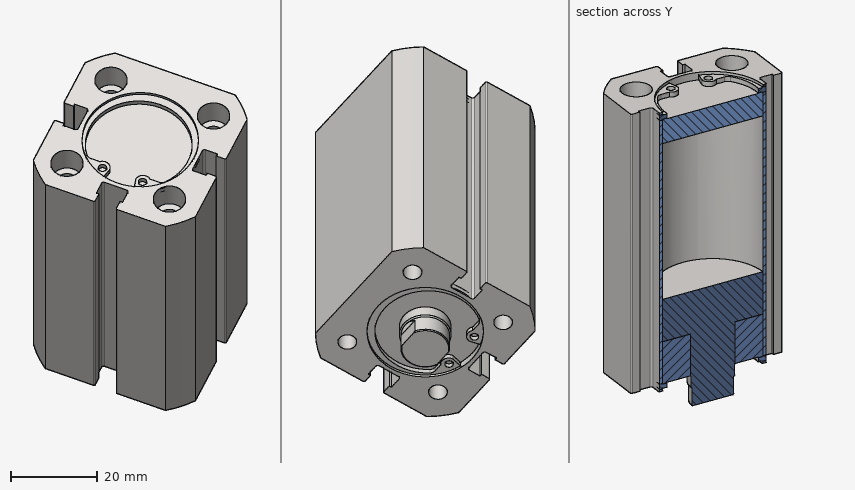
import cadquery as cq
import math

TOTAL_LENGTH = 79.0
ROD_REACH = 6.0
HOUSING_LENGTH = TOTAL_LENGTH - ROD_REACH
HOUSING_SIDE = 41.0
HALF_SIDE = HOUSING_SIDE / 2
CORNER_DIAMETER = 51.0

BORE_RADIUS = 13.5

BOLT_PITCH = 25.9
BOLT_HOLE_DIAMETER = 4.35
COUNTERBORE_DIAMETER = 7.5
COUNTERBORE_DEPTH = 7.0

SLOT_MOUTH_WIDTH = 5.4
SLOT_INNER_WIDTH = 6.6
SLOT_LIP_DEPTH = 2.45
SLOT_DEPTH = 6.0
SLOT_LIP_FILLET = 0.3
SLOT_FLOOR_FILLET = 0.55

GROOVE_WALL = 0.12
GROOVE_RADIUS = HALF_SIDE - SLOT_DEPTH - GROOVE_WALL
RING_THICKNESS = 1.3
RING_SETBACK = 0.7
RING_INNER_RADIUS = 12.4
RING_INNER_SHIFT = 0.9
LUG_X = 5.1
LUG_Y = -10.35
LUG_RADIUS = 1.8
LUG_HOLE_X = 5.05
LUG_HOLE_Y = -10.4
LUG_HOLE_DIAMETER = 2.0
WEB_DROP = 0.5
WEB_FILLET = 1.6
GAP_HALF_WIDTH = 4.1

END_CAP_THICKNESS = 6.3
ROD_COVER_THICKNESS = 11.05
COVER_SETBACK = RING_SETBACK + RING_THICKNESS

PISTON_THICKNESS = 11.05
ROD_RADIUS = 6.0
ROD_TIP_RADIUS = 5.7
ROD_SHOULDER = 0.95
ROD_FLAT_WIDTH = 9.95
ROD_TIP_CHAMFER = 0.2


def slot_cutter():
    """T-slot along Z that opens on the -Y side."""
    mouth = SLOT_MOUTH_WIDTH / 2
    inner = SLOT_INNER_WIDTH / 2
    lip_y = -HALF_SIDE + SLOT_LIP_DEPTH
    floor_y = -HALF_SIDE + SLOT_DEPTH
    inner_part = (
        cq.Workplane("XY")
        .moveTo(-inner, lip_y)
        .lineTo(inner, lip_y)
        .lineTo(inner, floor_y)
        .lineTo(-inner, floor_y)
        .close()
        .extrude(HOUSING_LENGTH)
        .edges("|Z and >Y")
        .fillet(SLOT_FLOOR_FILLET)
    )
    flare = mouth + SLOT_LIP_FILLET
    flare_y = -HALF_SIDE + SLOT_LIP_FILLET
    arc_mid = SLOT_LIP_FILLET * (1 - math.sqrt(0.5))
    mouth_part = (
        cq.Workplane("XY")
        .moveTo(-flare, -HALF_SIDE)
        .lineTo(flare, -HALF_SIDE)
        .threePointArc((mouth + arc_mid, -HALF_SIDE + arc_mid), (mouth, flare_y))
        .lineTo(mouth, lip_y)
        .lineTo(-mouth, lip_y)
        .lineTo(-mouth, flare_y)
        .threePointArc((-mouth - arc_mid, -HALF_SIDE + arc_mid), (-flare, -HALF_SIDE))
        .close()
        .extrude(HOUSING_LENGTH)
    )
    return inner_part.union(mouth_part)


def ring_bottoms():
    """Heights of the lower faces of the two retaining rings."""
    return [RING_SETBACK, HOUSING_LENGTH - RING_SETBACK - RING_THICKNESS]


def make_housing():
    body = cq.Workplane("XY").rect(HOUSING_SIDE, HOUSING_SIDE).extrude(HOUSING_LENGTH)
    body = body.intersect(cq.Workplane("XY").circle(CORNER_DIAMETER / 2).extrude(HOUSING_LENGTH))
    for angle in (-90, 0, 90):
        body = body.cut(slot_cutter().rotate((0, 0, 0), (0, 0, 1), angle))
    body = (
        body.faces(">Z")
        .workplane(origin=(0, 0, HOUSING_LENGTH))
        .rect(BOLT_PITCH, BOLT_PITCH, forConstruction=True)
        .vertices()
        .cboreHole(BOLT_HOLE_DIAMETER, COUNTERBORE_DIAMETER, COUNTERBORE_DEPTH)
    )
    body = body.cut(cq.Workplane("XY").circle(BORE_RADIUS).extrude(HOUSING_LENGTH))
    for bottom in ring_bottoms():
        body = body.cut(ring_disc(bottom).cut(ring_gap(bottom)))
    return body


def ring_plane(bottom):
    return cq.Workplane("XY", origin=(0, 0, bottom))


def ring_disc(bottom):
    return ring_plane(bottom).circle(GROOVE_RADIUS).extrude(RING_THICKNESS)


def ring_gap(bottom):
    """Space between the ring ends on the -Y side; the groove stops here too."""
    lug_side = LUG_X - LUG_RADIUS
    return (
        ring_plane(bottom)
        .moveTo(-lug_side, LUG_Y)
        .lineTo(lug_side, LUG_Y)
        .lineTo(GAP_HALF_WIDTH, -BORE_RADIUS)
        .lineTo(GAP_HALF_WIDTH, -GROOVE_RADIUS)
        .lineTo(-GAP_HALF_WIDTH, -GROOVE_RADIUS)
        .lineTo(-GAP_HALF_WIDTH, -BORE_RADIUS)
        .close()
        .extrude(RING_THICKNESS)
    )


def make_ring(bottom):
    """Internal retaining ring with two plier lugs beside its gap."""
    plane = ring_plane(bottom)
    disc = ring_disc(bottom)
    opening = plane.center(0, -RING_INNER_SHIFT).circle(RING_INNER_RADIUS).extrude(RING_THICKNESS)
    ring = disc.cut(opening)

    web_y = LUG_Y + LUG_RADIUS - WEB_DROP
    for side in (-1, 1):
        lug = plane.center(side * LUG_X, LUG_Y).circle(LUG_RADIUS).extrude(RING_THICKNESS)
        web = (
            plane.moveTo(side * LUG_X, web_y)
            .lineTo(side * GROOVE_RADIUS, web_y)
            .lineTo(side * GROOVE_RADIUS, -GROOVE_RADIUS)
            .lineTo(0, -GROOVE_RADIUS)
            .lineTo(side * (LUG_X - LUG_RADIUS), LUG_Y)
            .close()
            .extrude(RING_THICKNESS)
            .intersect(disc)
        )
        ring = ring.union(web).union(lug)
    ring = ring.cut(ring_gap(bottom))

    corner_x = math.sqrt(RING_INNER_RADIUS**2 - (web_y + RING_INNER_SHIFT) ** 2)
    for side in (-1, 1):
        corner = (side * corner_x, web_y, bottom + RING_THICKNESS / 2)
        ring = ring.edges(cq.selectors.NearestToPointSelector(corner)).fillet(WEB_FILLET)

    holes = (
        plane.pushPoints([(-LUG_HOLE_X, LUG_HOLE_Y), (LUG_HOLE_X, LUG_HOLE_Y)])
        .circle(LUG_HOLE_DIAMETER / 2)
        .extrude(RING_THICKNESS)
    )
    return ring.cut(holes)


def make_end_cap():
    top = HOUSING_LENGTH - COVER_SETBACK
    plane = cq.Workplane("XY", origin=(0, 0, top - END_CAP_THICKNESS))
    return plane.circle(BORE_RADIUS).extrude(END_CAP_THICKNESS)


def make_rod_cover():
    return (
        cq.Workplane("XY", origin=(0, 0, COVER_SETBACK))
        .circle(BORE_RADIUS)
        .circle(ROD_RADIUS)
        .extrude(ROD_COVER_THICKNESS)
    )


def make_piston_rod():
    """Piston and rod in one piece, with a reduced tip and two wrench flats."""
    piston_bottom = COVER_SETBACK + ROD_COVER_THICKNESS
    piston_top = piston_bottom + PISTON_THICKNESS
    taper_end = -ROD_SHOULDER - (ROD_RADIUS - ROD_TIP_RADIUS)
    rod = (
        cq.Workplane("XZ")
        .moveTo(0, -ROD_REACH)
        .lineTo(ROD_TIP_RADIUS - ROD_TIP_CHAMFER, -ROD_REACH)
        .lineTo(ROD_TIP_RADIUS, -ROD_REACH + ROD_TIP_CHAMFER)
        .lineTo(ROD_TIP_RADIUS, taper_end)
        .lineTo(ROD_RADIUS, -ROD_SHOULDER)
        .lineTo(ROD_RADIUS, piston_bottom)
        .lineTo(BORE_RADIUS, piston_bottom)
        .lineTo(BORE_RADIUS, piston_top)
        .lineTo(0, piston_top)
        .close()
        .revolve(360, (0, 0, 0), (0, 1, 0))
    )
    flat_y = ROD_FLAT_WIDTH / 2
    flat_top = -ROD_SHOULDER - (ROD_RADIUS - flat_y)
    flat_cutter = (
        cq.Workplane("YZ")
        .moveTo(flat_y, -ROD_REACH)
        .lineTo(flat_y, flat_top)
        .lineTo(ROD_RADIUS, -ROD_SHOULDER)
        .lineTo(ROD_RADIUS, -ROD_REACH)
        .close()
        .extrude(ROD_RADIUS, both=True)
    )
    return rod.cut(flat_cutter).cut(flat_cutter.mirror("XZ"))


housing = make_housing()
rings = [make_ring(bottom) for bottom in ring_bottoms()]
end_cap = make_end_cap()
rod_cover = make_rod_cover()
piston_rod = make_piston_rod()

result = cq.Compound.makeCompound(
    [
        housing.val(),
        *[ring.val() for ring in rings],
        end_cap.val(),
        rod_cover.val(),
        piston_rod.val(),
    ]
)